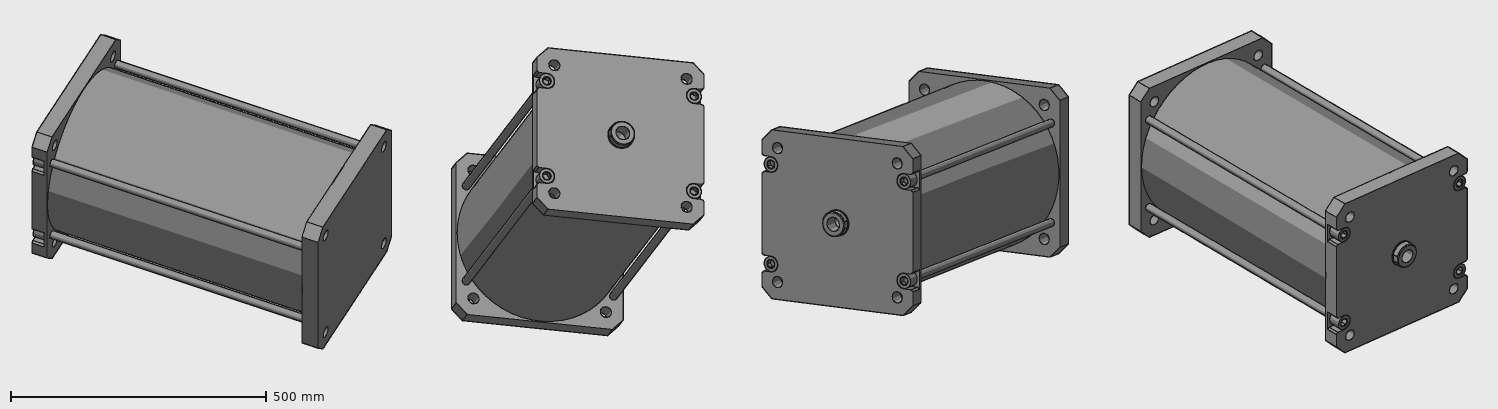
import cadquery as cq
import math

total_length = 635.0
rod_end_projection = 16.5
front_plate_thickness = 33.0
rear_plate_thickness = 35.0
front_plate_x = rod_end_projection
barrel_start_x = front_plate_x + front_plate_thickness
barrel_end_x = total_length - rear_plate_thickness
barrel_length = barrel_end_x - barrel_start_x

plate_width = 340.0
plate_corner_chamfer = 22.0
mounting_hole_spacing = 269.0
mounting_hole_diameter = 22.0

barrel_diameter = 336.0

tie_rod_spacing_y = 300.0
tie_rod_spacing_z = 200.0
tie_rod_diameter = 16.0
head_diameter = 30.0
head_length = 26.0
socket_sides = 6
socket_across_flats = 14.5
socket_depth = 13.0
socket_countersink_diameter = 18.0
socket_countersink_slope = 60.0
rod_y = tie_rod_spacing_y / 2
rod_z = tie_rod_spacing_z / 2
socket_turns = {
    (rod_y, rod_z): -4,
    (-rod_y, rod_z): -5,
    (rod_y, -rod_z): 25,
    (-rod_y, -rod_z): 3,
}
tie_rod_places = list(socket_turns)

pocket_width = 32.0
pocket_mouth_chamfer = 4.0

piston_rod_diameter = 50.0
collar_diameter = 52.0
collar_length = 2.5
piston_rod_flats = 48.0
piston_rod_chamfer = 2.0
thread_hole_diameter = 28.0
thread_hole_depth = 32.0
drill_point_angle = 118.0


def yz_plane(x):
    """Sketch plane at x with local axes along Y and Z, extruding towards +X."""
    return cq.Workplane("YZ", origin=(x, 0, 0))


def make_plate(x, thickness):
    """Square plate with chamfered corners and four mounting holes."""
    return (
        yz_plane(x)
        .rect(plate_width, plate_width)
        .extrude(thickness)
        .edges("|X")
        .chamfer(plate_corner_chamfer)
        .faces("<X")
        .workplane(origin=(x, 0, 0))
        .rect(mounting_hole_spacing, mounting_hole_spacing, forConstruction=True)
        .vertices()
        .hole(mounting_hole_diameter)
    )


def make_head_pocket(y, z):
    """Round-ended slot around one rod head, flared where it leaves the plate side."""
    side = 1 if y > 0 else -1
    edge_y = side * plate_width / 2
    half_width = pocket_width / 2
    flare = pocket_mouth_chamfer
    return (
        yz_plane(front_plate_x)
        .moveTo(y, z - half_width)
        .threePointArc((y - side * half_width, z), (y, z + half_width))
        .lineTo(edge_y - side * flare, z + half_width)
        .lineTo(edge_y, z + half_width + flare)
        .lineTo(edge_y, z - half_width - flare)
        .lineTo(edge_y - side * flare, z - half_width)
        .close()
        .extrude(head_length)
    )


def make_front_plate():
    """Plate with the head pockets, the tie rod holes and the piston rod bore."""
    plate = make_plate(front_plate_x, front_plate_thickness)
    for y, z in tie_rod_places:
        plate = plate.cut(make_head_pocket(y, z))
    rod_holes = (
        yz_plane(front_plate_x)
        .pushPoints(tie_rod_places)
        .circle(tie_rod_diameter / 2)
        .extrude(front_plate_thickness)
    )
    bore = yz_plane(front_plate_x).circle(collar_diameter / 2).extrude(front_plate_thickness)
    return plate.cut(rod_holes).cut(bore)


def make_tie_rod(y, z, socket_turn):
    """Rod from the front plate to the rear plate, with a hexagon socket head."""
    head = yz_plane(front_plate_x).center(y, z).circle(head_diameter / 2).extrude(head_length)
    shank_start = front_plate_x + head_length
    shank = (
        yz_plane(shank_start)
        .center(y, z)
        .circle(tie_rod_diameter / 2)
        .extrude(barrel_end_x - shank_start)
    )
    socket = (
        yz_plane(front_plate_x)
        .center(y, z)
        .polygon(socket_sides, socket_across_flats, circumscribed=True)
        .extrude(socket_depth)
        .rotate((0, y, z), (1, y, z), socket_turn)
    )
    countersink_reach = (socket_countersink_diameter - socket_across_flats) / 2
    countersink_depth = countersink_reach / math.tan(math.radians(socket_countersink_slope))
    countersink = (
        yz_plane(front_plate_x)
        .center(y, z)
        .circle(socket_countersink_diameter / 2)
        .extrude(countersink_depth, taper=socket_countersink_slope)
    )
    return head.union(shank).cut(socket).cut(countersink)


def make_thread_hole():
    """Drilled hole with a conical bottom, on the X axis."""
    radius = thread_hole_diameter / 2
    point_length = radius / math.tan(math.radians(drill_point_angle / 2))
    return (
        cq.Workplane("XY")
        .lineTo(0, radius)
        .lineTo(thread_hole_depth, radius)
        .lineTo(thread_hole_depth + point_length, 0)
        .close()
        .revolve(360, (0, 0, 0), (1, 0, 0))
    )


def make_flat_cuts(length):
    """Material outside the two flats, on the +Y and -Y sides of the rod end."""
    offset = (piston_rod_flats + piston_rod_diameter) / 2
    return (
        yz_plane(0)
        .pushPoints([(-offset, 0), (offset, 0)])
        .rect(piston_rod_diameter, piston_rod_diameter)
        .extrude(length)
    )


def make_piston_rod():
    """Rod end with two flats and a collar, through the front plate, with a drilled hole."""
    collar_x = rod_end_projection - collar_length
    nose = (
        yz_plane(0)
        .circle(piston_rod_diameter / 2)
        .extrude(collar_x)
        .faces("<X")
        .chamfer(piston_rod_chamfer)
        .cut(make_flat_cuts(collar_x))
    )
    collar = yz_plane(collar_x).circle(collar_diameter / 2).extrude(barrel_start_x - collar_x)
    return nose.union(collar).cut(make_thread_hole())


front_plate = make_front_plate()
rear_plate = make_plate(barrel_end_x, rear_plate_thickness)
barrel = yz_plane(barrel_start_x).circle(barrel_diameter / 2).extrude(barrel_length)
tie_rods = [make_tie_rod(y, z, turn) for (y, z), turn in socket_turns.items()]
piston_rod = make_piston_rod()

result = cq.Compound.makeCompound(
    [
        front_plate.val(),
        rear_plate.val(),
        barrel.val(),
        *[tie_rod.val() for tie_rod in tie_rods],
        piston_rod.val(),
    ]
)